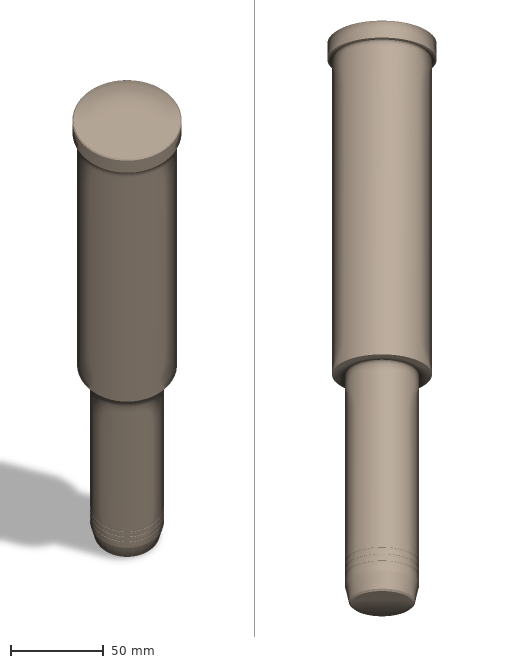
import cadquery as cq

total_length = 331.0
head_diameter = 59.0
head_height = 10.3
head_chamfer = 0.5
body_diameter = 54.0
body_length = 185.7
stem_diameter = 40.0

relief_width = 1.0
relief_depth = 0.15

tip_diameter = 35.7
taper_height = 10.5
tip_chamfer = 1.0

groove_count = 3
groove_width = 1.3
groove_depth = 0.15
groove_pitch = 4.0
lowest_groove_height = 15.2

head_radius = head_diameter / 2
body_radius = body_diameter / 2
stem_radius = stem_diameter / 2
tip_radius = tip_diameter / 2
head_bottom = total_length - head_height
body_bottom = head_bottom - body_length


def make_pin():
    """Revolve the stepped half profile, including its end chamfers."""
    profile = [
        (0, 0),
        (tip_radius - tip_chamfer, 0),
        (tip_radius, tip_chamfer),
        (stem_radius, taper_height),
        (stem_radius, body_bottom),
        (body_radius, body_bottom),
        (body_radius, head_bottom),
        (head_radius, head_bottom),
        (head_radius, total_length - head_chamfer),
        (head_radius - head_chamfer, total_length),
        (0, total_length),
    ]
    return cq.Workplane("XZ").polyline(profile).close().revolve(360, (0, 0), (0, 1))


def make_groove(bottom, width, shaft_radius, depth):
    """Ring that cuts one shallow groove around a shaft."""
    return (
        cq.Workplane("XY", origin=(0, 0, bottom))
        .circle(head_radius)
        .circle(shaft_radius - depth)
        .extrude(width)
    )


result = make_pin()

for shoulder, shaft_radius in ((head_bottom, body_radius), (body_bottom, stem_radius)):
    relief = make_groove(shoulder - relief_width, relief_width, shaft_radius, relief_depth)
    result = result.cut(relief)

for index in range(groove_count):
    groove_bottom = lowest_groove_height + index * groove_pitch
    result = result.cut(make_groove(groove_bottom, groove_width, stem_radius, groove_depth))